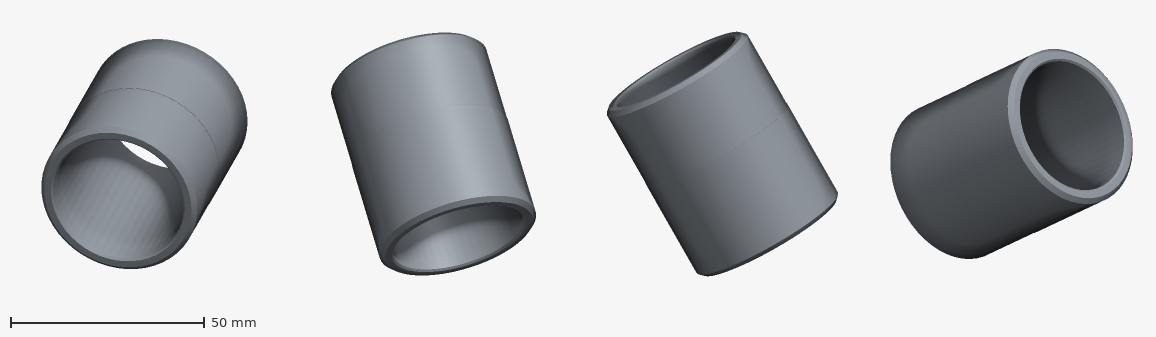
import cadquery as cq

length = 50.0
bore_diameter = 35.0
front_diameter = 41.91
rear_diameter = 42.11
front_length = 22.0
outer_chamfer = 1.2
bore_chamfer = 0.5

front_y = -length / 2


def cylinder(diameter, start_y, extent):
    """Solid cylinder along +Y, starting at start_y."""
    base = cq.Workplane("XZ", origin=(0, start_y, 0))
    return base.circle(diameter / 2).extrude(-extent)


def chamfered_cylinder(diameter, start_y, extent, end_face):
    """Cylinder along +Y with the rim of one end face chamfered."""
    return cylinder(diameter, start_y, extent).faces(end_face).chamfer(outer_chamfer)


front_part = chamfered_cylinder(front_diameter, front_y, front_length, "<Y")
rear_part = chamfered_cylinder(rear_diameter, front_y + front_length, length - front_length, ">Y")
sleeve = front_part.union(rear_part)

sleeve = sleeve.cut(cylinder(bore_diameter, front_y, length))
bore_mouths = cq.selectors.RadiusNthSelector(0)
result = sleeve.edges("%CIRCLE").edges(bore_mouths).chamfer(bore_chamfer)